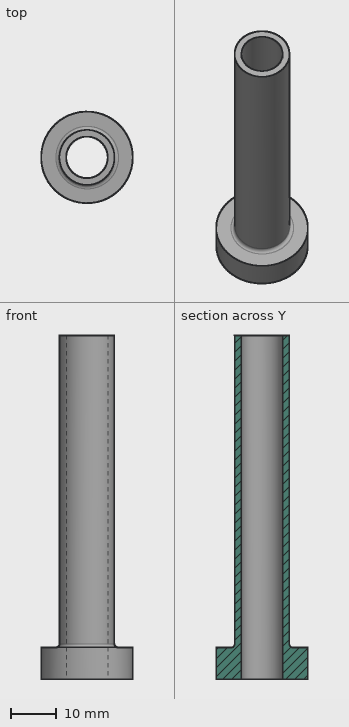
import cadquery as cq

total_length = 75.0
head_diameter = 20.0
head_height = 7.0
shank_diameter = 12.0
bore_diameter = 9.0
root_radius = 0.8

head_radius = head_diameter / 2
shank_radius = shank_diameter / 2
bore_radius = bore_diameter / 2


def sleeve_profile():
    """Half section in the XZ plane, from the bore wall outward."""
    return (
        cq.Workplane("XZ")
        .moveTo(bore_radius, 0)
        .lineTo(head_radius, 0)
        .lineTo(head_radius, head_height)
        .lineTo(shank_radius + root_radius, head_height)
        .radiusArc((shank_radius, head_height + root_radius), root_radius)
        .lineTo(shank_radius, total_length)
        .lineTo(bore_radius, total_length)
        .close()
    )


result = sleeve_profile().revolve(360, (0, 0, 0), (0, 1, 0))